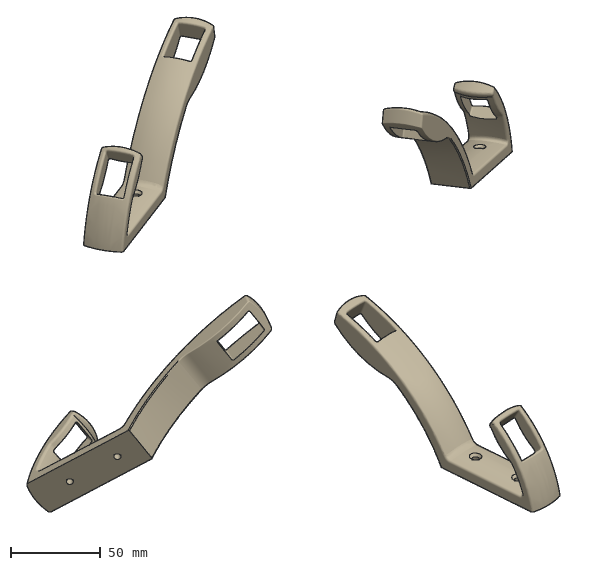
import cadquery as cq
import math

WIDTH = 23.9
LENGTH = 152.0
HEIGHT = 71.3
HALF_WIDTH = WIDTH / 2

CROWN_RADIUS = 40.3
TOOL_HALF_WIDTH = HALF_WIDTH + 1.5
TOOL_CROWN_DROP = CROWN_RADIUS - math.sqrt(CROWN_RADIUS**2 - TOOL_HALF_WIDTH**2)
TOOL_DEPTH = 1.2 * LENGTH
CONVEX = 1
HOLLOW = -1

ARM_TOP = ((183.8, -62.3), 138.1)
ARM_BACK = ((180.2, -57.9), 124.1)
ARM_BELLY = ((106.5, 102.5), 60.3)
HOOK_THICKNESS = 8.5
HOOK_FRONT = ((77.5, -14.5), 78.9)
HOOK_BACK = (HOOK_FRONT[0], HOOK_FRONT[1] - HOOK_THICKNESS)
HOOK_BELLY = ((-7.6, 64.5), 48.0)

ARM_TIP = ((152.4, 61.5), (149.8, HEIGHT))
HOOK_TIP = ((36.9, 44.0), (31.8, 49.7))

ARM_START = 57.7
HOOK_END = 39.5
HOOK_HEIGHT = 51.7

BASE_THICKNESS = 8.2
BASE_START = 5.5
BASE_END = 73.0

SIDE_ROUND = 1.5
BELLY_ROUND = 0.6
ARM_NECK_ROUND = 12.2
HOOK_NECK_ROUND = 4.5
TIP_ROUND = 1.2
HOOK_TIP_BACK_ROUND = 1.8
ARM_CORNER_ROUND = 4.5
HOOK_CORNER_ROUND = 1.8

ARM_NECK = (106.8, 42.2)
HOOK_NECK = (18.5, 24.9)
ARM_CORNER = (65.2, BASE_THICKNESS)
HOOK_CORNER = (11.0, BASE_THICKNESS)

ARM_WINDOW = ((118.4, 68.4), (140.8, 77.5), (151.8, 49.4), (128.5, 40.3))
HOOK_WINDOW = ((9.1, 31.5), (25.5, 53.2), (39.5, 28.1), (22.8, 18.1))
WINDOW_HALF_WIDTH = 8.0
WINDOW_CORNER = 0.9
WINDOW_RIM = 1.2

HOLE_POSITIONS = (23.1, 54.8)
HOLE_DIAMETER = 4.0
SINK_DIAMETER = 7.1
SINK_ANGLE = 90

TOLERANCE = 0.02


def block(y_start, y_end, height):
    """Full-width block standing on Z = 0."""
    size = (WIDTH, y_end - y_start, height)
    return cq.Workplane("XY", origin=(0, y_start, 0)).box(*size, centered=(True, False, False))


def disc(arc):
    """Plain disc about an X axis."""
    centre, radius = arc
    return cq.Workplane("YZ").center(*centre).circle(radius).extrude(TOOL_HALF_WIDTH, both=True)


def crowned_section(plane, low, high, bulge):
    """Section whose upper edge is an arc across the width, reaching high at the middle."""
    corner = high - bulge * TOOL_CROWN_DROP
    return (
        cq.Workplane(plane)
        .moveTo(-TOOL_HALF_WIDTH, low)
        .lineTo(-TOOL_HALF_WIDTH, corner)
        .threePointArc((0, high), (TOOL_HALF_WIDTH, corner))
        .lineTo(TOOL_HALF_WIDTH, low)
        .close()
    )


def crowned_disc(arc, bulge):
    """Disc about an X axis with a convex or hollow rim."""
    centre, radius = arc
    plane = cq.Plane(origin=(0, *centre), xDir=(1, 0, 0), normal=(0, 0, 1))
    return crowned_section(plane, 0, radius, bulge).revolve(360, (0, 0), (1, 0))


def crowned_bar(start, end):
    """Long straight bar; its crowned face follows the line and looks to the right of it,
    seen with Y to the right and Z up."""
    along = (cq.Vector(0, *end) - cq.Vector(0, *start)).normalized()
    plane = cq.Plane(origin=(0, *start), xDir=(1, 0, 0), normal=along)
    return crowned_section(plane, -TOOL_DEPTH, 0, CONVEX).extrude(TOOL_DEPTH, both=True)


def blade(region, front, back_tool, belly_tool, tip):
    """Curved strip between front and back, swollen by the belly and ended at the tip."""
    stem = region.cut(back_tool)
    head = region.intersect(belly_tool)
    return stem.union(head).intersect(crowned_disc(front, CONVEX)).intersect(crowned_bar(*tip))


def nearest(place):
    return cq.selectors.NearestToPointSelector((0, *place))


def window_tool(outline):
    """Tapered opening across the blade, rounded in its four corners."""
    tool = cq.Workplane("YZ").polyline(outline).close().extrude(WINDOW_HALF_WIDTH, both=True)
    near_front, far_front, far_back, near_back = (cq.Vector(0, *point) for point in outline)
    for front, back in ((near_front, near_back), (far_front, far_back)):
        middle = (front + back) * 0.5
        for x in (-WINDOW_HALF_WIDTH, WINDOW_HALF_WIDTH):
            corner = cq.selectors.NearestToPointSelector((x, middle.y, middle.z))
            tool = tool.edges(corner).fillet(WINDOW_CORNER)
    return tool


def open_window(body, outline):
    """Cut the window and round the rim of its front (upper) opening."""
    body = body.cut(window_tool(outline))
    openings = [wire for face in body.faces().vals() for wire in face.innerWires()]
    front_opening = max(openings, key=lambda wire: wire.Center().z)
    return body.newObject(front_opening.Edges()).fillet(WINDOW_RIM)


def distance_to_centre(edge, arc):
    """Distance in the side profile from the middle of an edge to an arc's centre."""
    middle = edge.positionAt(0.5)
    (y, z), _ = arc
    return math.hypot(middle.y - y, middle.z - z)


def is_crown_border(edge):
    """True except along the foot and along the back of the arm."""
    behind_arm = distance_to_centre(edge, ARM_BACK) < ARM_BACK[1] + TOLERANCE
    return edge.positionAt(0.5).z > TOLERANCE and not behind_arm


def is_belly_border(edge):
    return abs(distance_to_centre(edge, ARM_BELLY) - ARM_BELLY[1]) < TOLERANCE


def screw_hole(y):
    """Through hole with a conical sink that opens at the top of the base."""
    sink_slope = math.tan(math.radians(SINK_ANGLE / 2))
    sink_depth = (SINK_DIAMETER - HOLE_DIAMETER) / 2 / sink_slope
    sink_floor = BASE_THICKNESS - sink_depth
    return (
        cq.Workplane("XZ", origin=(0, y, 0))
        .polyline([
            (0, 0),
            (HOLE_DIAMETER / 2, 0),
            (HOLE_DIAMETER / 2, sink_floor),
            (SINK_DIAMETER / 2, BASE_THICKNESS),
            (0, BASE_THICKNESS),
        ])
        .close()
        .revolve(360, (0, 0), (0, 1))
    )


arm_region = block(ARM_START, LENGTH + 1.5, HEIGHT + 1.5)
arm = blade(arm_region, ARM_TOP, disc(ARM_BACK), disc(ARM_BELLY), ARM_TIP)
arm = arm.edges(nearest(ARM_NECK)).fillet(ARM_NECK_ROUND)
arm = arm.edges(nearest(ARM_TIP[1])).fillet(TIP_ROUND)
arm = open_window(arm, ARM_WINDOW)

hook_region = block(0, HOOK_END, HOOK_HEIGHT)
hook_back_tool = crowned_disc(HOOK_BACK, HOLLOW)
hook_belly_tool = crowned_disc(HOOK_BELLY, CONVEX)
hook = blade(hook_region, HOOK_FRONT, hook_back_tool, hook_belly_tool, HOOK_TIP)
hook = hook.edges(nearest(HOOK_NECK)).fillet(HOOK_NECK_ROUND)
hook = hook.edges(nearest(HOOK_TIP[1])).fillet(TIP_ROUND)
hook = hook.edges(nearest(HOOK_TIP[0])).fillet(HOOK_TIP_BACK_ROUND)
hook = open_window(hook, HOOK_WINDOW)

base_top = crowned_bar((BASE_END, BASE_THICKNESS), (BASE_START, BASE_THICKNESS))
base = block(BASE_START, BASE_END, HEIGHT).intersect(base_top).cut(disc(ARM_BACK))

result = arm.union(base).union(hook)
result = result.edges(nearest(HOOK_CORNER)).fillet(HOOK_CORNER_ROUND)
result = result.edges(nearest(ARM_CORNER)).fillet(ARM_CORNER_ROUND)
result = result.faces("<X or >X").edges().filter(is_crown_border).fillet(SIDE_ROUND)
result = result.faces("<X or >X").edges().filter(is_belly_border).fillet(BELLY_ROUND)

for hole_y in HOLE_POSITIONS:
    result = result.cut(screw_hole(hole_y))